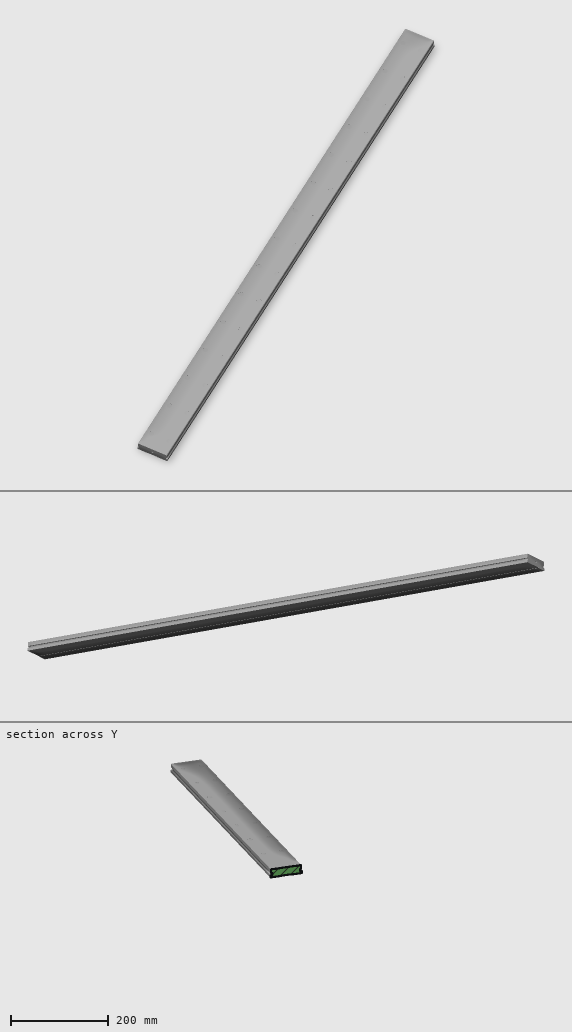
import cadquery as cq

length = 1190.0
width = 69.0
height = 19.0

upper_step = 1.0
top_chamfer = 1.0

groove_depth = 4.0
groove_mouth = 5.0
groove_floor = 4.0
groove_height = 7.7

relief_width = 21.0
relief_depth = 0.6

recesses_per_row = 15
row_length = 1120.0
row_spacing = 40.0
recess_diameter = 11.0
recess_depth = 0.2

end_hole_diameter = 5.0
end_hole_depth = 12.0


def rail_body():
    """Extrude the cross-section, drawn on its +X half and mirrored to -X."""
    base_x = width / 2
    upper_x = base_x - upper_step
    floor_x = base_x - groove_depth
    right_half = [
        (relief_width / 2, relief_depth),
        (relief_width / 2, 0),
        (base_x, 0),
        (base_x, groove_height - groove_mouth / 2),
        (floor_x, groove_height - groove_floor / 2),
        (floor_x, groove_height + groove_floor / 2),
        (upper_x, groove_height + groove_mouth / 2),
        (upper_x, height - top_chamfer),
        (upper_x - top_chamfer, height),
    ]
    left_half = [(-x, z) for x, z in reversed(right_half)]
    section = cq.Workplane("XZ").polyline(right_half + left_half).close()
    return section.extrude(length / 2, both=True)


def mounting_recesses():
    """Cutters for both rows of recesses, sunk from the top face."""
    pitch = row_length / (recesses_per_row - 1)
    centres = cq.Workplane("XY", origin=(0, 0, height)).rarray(row_spacing, pitch, 2, recesses_per_row)
    return centres.circle(recess_diameter / 2).extrude(-recess_depth)


def end_hole(end):
    """Cutter for the blind hole in the end face at -Y (end = -1) or +Y (end = 1)."""
    face_centre = (0, end * length / 2, height / 2)
    return cq.Workplane("XZ", origin=face_centre).circle(end_hole_diameter / 2).extrude(end * end_hole_depth)


result = rail_body().cut(mounting_recesses())
for end in (-1, 1):
    result = result.cut(end_hole(end))